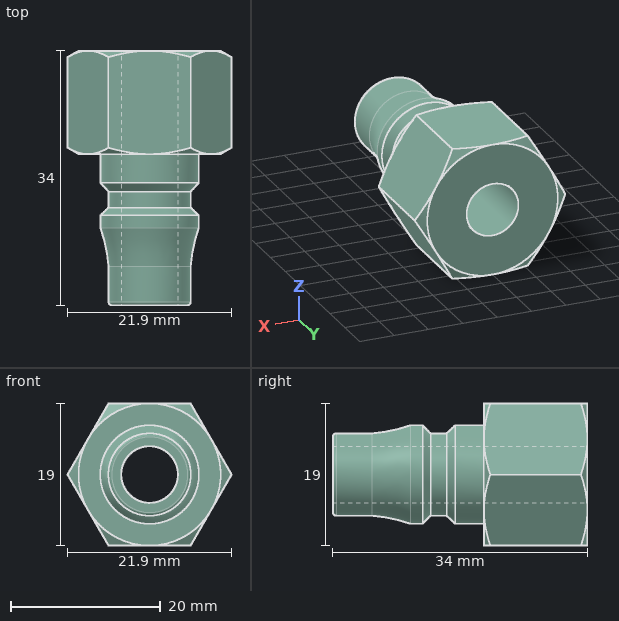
import cadquery as cq
import math

total_length = 34.0
hex_across_flats = 19.0
hex_length = 13.8
hex_chamfer_angle = 30.0
bore_diameter = 7.55
neck_radius = 5.5
collar_radius = 6.6
tip_fillet = 0.45

flare_start = 5.2
flare_end = 10.37
collar_end = 12.0
groove_start = 13.05
groove_end = 15.2
shank_start = 16.35
hex_start = total_length - hex_length

flare_sag = 0.17

hex_corner_radius = hex_across_flats / math.sqrt(3)
chamfer_circle_radius = hex_across_flats / 2
chamfer_depth = (hex_corner_radius - chamfer_circle_radius) * math.tan(math.radians(hex_chamfer_angle))


def revolve_about_y(profile):
    return profile.close().revolve(360, (0, 0, 0), (0, 1, 0))


def make_plug():
    """Stepped plug with a flared nose and a locking groove."""
    flare_length = flare_end - flare_start
    flare_rise = collar_radius - neck_radius
    chord = math.hypot(flare_length, flare_rise)
    flare_middle = (
        (neck_radius + collar_radius) / 2 - flare_sag * flare_length / chord,
        (flare_start + flare_end) / 2 + flare_sag * flare_rise / chord,
    )
    profile = (
        cq.Workplane("XY")
        .lineTo(neck_radius, 0)
        .lineTo(neck_radius, flare_start)
        .threePointArc(flare_middle, (collar_radius, flare_end))
        .lineTo(collar_radius, collar_end)
        .lineTo(neck_radius, groove_start)
        .lineTo(neck_radius, groove_end)
        .lineTo(collar_radius, shank_start)
        .lineTo(collar_radius, hex_start)
        .lineTo(0, hex_start)
    )
    return revolve_about_y(profile).faces("<Y").edges().fillet(tip_fillet)


def make_hex():
    """Hexagon with corners on the X axis, turned to a 30 degree chamfer at both ends."""
    prism = (
        cq.Workplane("XZ", origin=(0, hex_start, 0))
        .polygon(6, 2 * hex_corner_radius)
        .extrude(-hex_length)
    )
    turned_profile = (
        cq.Workplane("XY")
        .moveTo(0, hex_start)
        .lineTo(chamfer_circle_radius, hex_start)
        .lineTo(hex_corner_radius, hex_start + chamfer_depth)
        .lineTo(hex_corner_radius, total_length - chamfer_depth)
        .lineTo(chamfer_circle_radius, total_length)
        .lineTo(0, total_length)
    )
    return prism.intersect(revolve_about_y(turned_profile))


def make_bore():
    """Straight passage through the whole part."""
    return cq.Workplane("XZ").circle(bore_diameter / 2).extrude(-total_length)


result = make_plug().union(make_hex()).cut(make_bore())